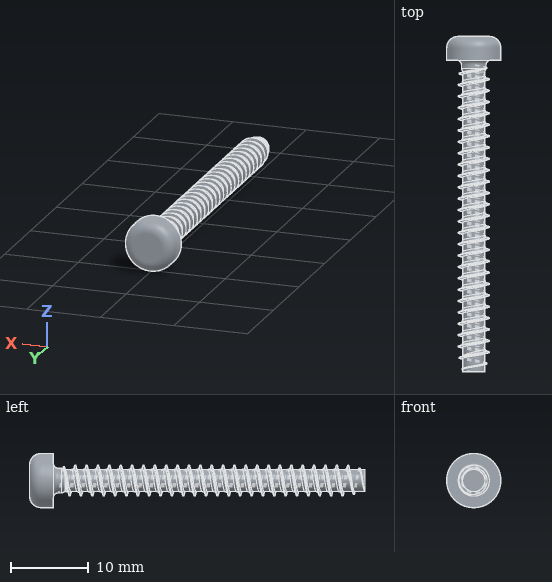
import cadquery as cq
import math

head_radius = 3.5
head_height = 3.09
head_edge_radius = 1.5

shank_length = 40.0
neck_radius = 1.6
neck_fillet = 0.6
neck_end = 1.04
core_start = 1.5
core_radius = 1.43

thread_radius = 2.0
thread_pitch = 1.46
crest_half_width = 0.03
flank_half_angle = 15.0
head_foot_radius = 1.55
head_foot_length = 0.35
root_radius = 1.25

zero_angle_depth = 0.97
thread_start_angle = -110.0
thread_start = zero_angle_depth + thread_pitch * thread_start_angle / 360
thread_end = shank_length
run_in_turns = 1.1
run_in_sink = 0.42
run_out_turns = 1.55
run_out_sink = 0.57
points_per_turn = 12


def make_body():
    """Head, filleted neck and thread core, revolved about the screw axis."""
    diagonal = math.sqrt(0.5)
    head_top = -head_height
    head_flat_radius = head_radius - head_edge_radius
    head_arc_mid = (
        head_flat_radius + head_edge_radius * diagonal,
        head_top + head_edge_radius * (1 - diagonal),
    )
    fillet_arc_mid = (
        neck_radius + neck_fillet * (1 - diagonal),
        neck_fillet * (1 - diagonal),
    )
    outline = (
        cq.Workplane("YZ")
        .moveTo(0, head_top)
        .lineTo(head_flat_radius, head_top)
        .threePointArc(head_arc_mid, (head_radius, head_top + head_edge_radius))
        .lineTo(head_radius, 0)
        .lineTo(neck_radius + neck_fillet, 0)
        .threePointArc(fillet_arc_mid, (neck_radius, neck_fillet))
        .lineTo(neck_radius, neck_end)
        .lineTo(core_radius, core_start)
        .lineTo(core_radius, shank_length)
        .lineTo(0, shank_length)
        .close()
    )
    return outline.revolve(360, (0, 0, 0), (0, 1, 0))


def thread_profile():
    """Corners of the thread section as (radius, offset along the axis towards the tip)."""
    slope = math.tan(math.radians(flank_half_angle))
    foot_slope = head_foot_length / (head_foot_radius - core_radius)
    foot_half_width = crest_half_width + (thread_radius - head_foot_radius) * slope
    root_half_width = crest_half_width + (thread_radius - root_radius) * slope
    foot_run = (head_foot_radius - root_radius) * foot_slope
    return [
        (thread_radius, -crest_half_width),
        (thread_radius, crest_half_width),
        (root_radius, root_half_width),
        (root_radius, -foot_half_width - foot_run),
        (head_foot_radius, -foot_half_width),
    ]


def thread_sink(turn, turn_count):
    """Distance by which the thread section is drawn in towards the axis at a given turn."""
    run_in = run_in_sink * max(0, 1 - turn / run_in_turns)
    run_out = run_out_sink * max(0, 1 - (turn_count - turn) / run_out_turns)
    return run_in + run_out


def thread_edge(radius, offset):
    """Helical edge traced by one corner of the thread section."""
    turn_count = (thread_end - thread_start) / thread_pitch
    step_count = math.ceil(turn_count * points_per_turn)
    points = []
    for step in range(step_count + 1):
        turn = turn_count * step / step_count
        angle = math.radians(thread_start_angle) + 2 * math.pi * turn
        local_radius = radius - thread_sink(turn, turn_count)
        depth = thread_start + offset + thread_pitch * turn
        points.append(cq.Vector(local_radius * math.cos(angle), local_radius * math.sin(angle), depth))
    return cq.Edge.makeSpline(points)


def make_thread():
    """Thread solid bounded by ruled helical faces and a flat cap at each end."""
    edges = [thread_edge(radius, offset) for radius, offset in thread_profile()]
    next_edges = edges[1:] + edges[:1]
    faces = [cq.Face.makeRuledSurface(edge, after) for edge, after in zip(edges, next_edges)]
    for end in (0, 1):
        corners = [edge.positionAt(end) for edge in edges]
        faces.append(cq.Face.makeFromWires(cq.Wire.makePolygon(corners, close=True)))
    return cq.Workplane(obj=cq.Solid.makeSolid(cq.Shell.makeShell(faces)))


def make_tip_trim():
    """Block below the flat tip."""
    width = 2 * head_radius
    return (
        cq.Workplane("XY", origin=(0, 0, shank_length))
        .rect(width, width)
        .extrude(2 * thread_pitch)
    )


thread = make_thread().cut(make_tip_trim())
screw = make_body().union(thread)

result = screw.rotate((0, 0, 0), (1, 0, 0), 90)